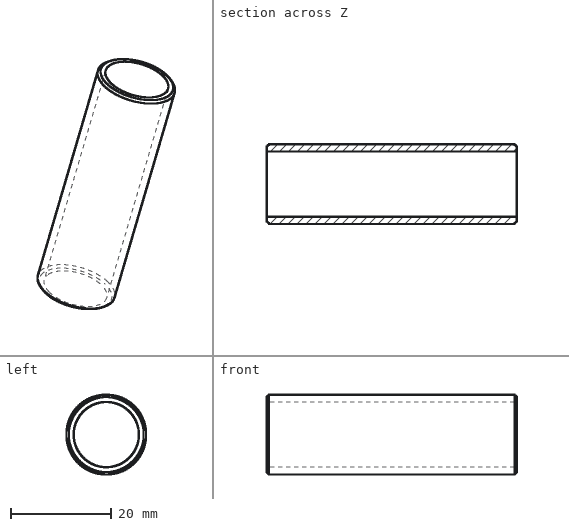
import cadquery as cq

length = 50.0
outer_diameter = 16.0
bore_diameter = 13.0
end_chamfer = 0.5


def centred_cylinder(diameter):
    """Full-length cylinder along X, centred on the origin."""
    start_plane = cq.Workplane("YZ", origin=(-length / 2, 0, 0))
    return start_plane.circle(diameter / 2).extrude(length)


bar = centred_cylinder(outer_diameter)
chamfered_bar = bar.faces("<X or >X").edges().chamfer(end_chamfer)

result = chamfered_bar.cut(centred_cylinder(bore_diameter))